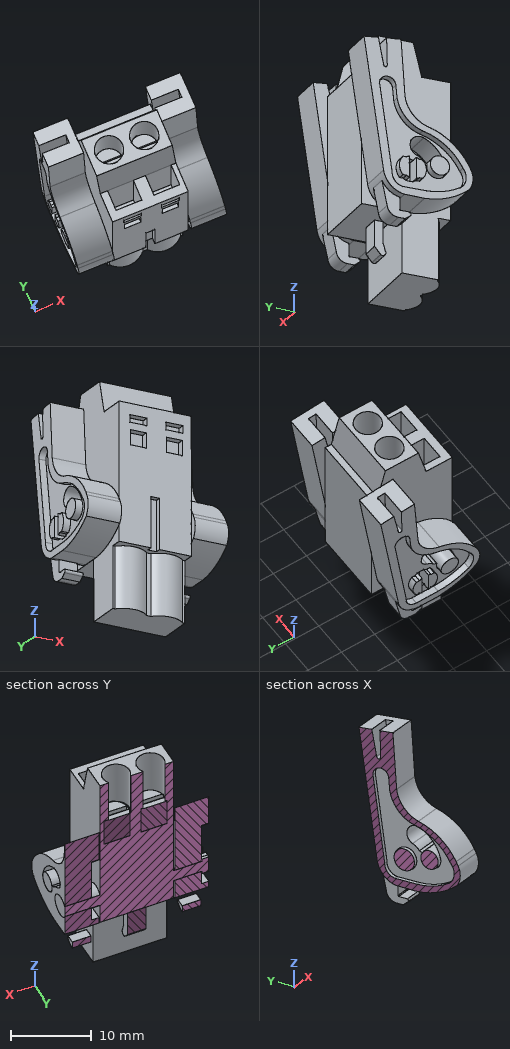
import cadquery as cq
import math


HEIGHT = 31.8
WIDTH = 10.18
BACK_Y = 4.77
FRONT_Y = -7.4
PLUG_TOP_Z = 8.43
SHOULDER_Z = 27.3
CROWN_BACK_Y = 2.67
CROWN_FRONT_Y = -2.3
CROWN_TAPER = 1.18
CROWN_FOOT_FRONT_Y = CROWN_FRONT_Y - CROWN_TAPER
CROWN_FOOT_BACK_Y = CROWN_BACK_Y + CROWN_TAPER

POLE_PITCH = 5.1
PLUG_BACK_Y = -0.73
PLUG_FRONT_Y = -5.72
BULGE_DEPTH = 1.0
BULGE_WIDTH = 4.48

KEY_SLOT_WIDTH = 1.2
KEY_SLOT_DEPTH = 0.75
KEY_SLOT_TOP_Z = 15.33

FIRST_POLE_X = -2.37
POLE_XS = [FIRST_POLE_X, FIRST_POLE_X + POLE_PITCH]
WIRE_ENTRY_WIDTH = 3.47
WIRE_ENTRY_FRONT_WALL = 1.2
WIRE_ENTRY_DEPTH = 9.55

WINDOW_DEPTH = 1.0
TEST_WINDOW = (2.4, 24.75, 25.75)
RELEASE_WINDOW = (2.2, 21.72, 23.75)

SCREW_Y = 0.22
SCREW_RADIUS = 2.0
SCREW_LENGTH = 3.82
SCREW_TOP_Z = 25.45
SCREW_SLOT_WIDTH = 0.67
SCREW_SLOT_DEPTH = 0.65
ACCESS_HOLE_RADIUS = 1.8
ACCESS_HOLE_X = 2.37

OVERALL_WIDTH = 19.88
LEVER_THICKNESS = 4.75
LEFT_LEVER_X = -OVERALL_WIDTH / 2
RIGHT_LEVER_X = OVERALL_WIDTH / 2 - LEVER_THICKNESS
RECESS_DEPTH = 1.0
GRIP_SLOT_LENGTH = 3.63
HOOK_WIDTH = 2.58

PIVOT_Z = 12.27
PIVOT_RADIUS = 1.53
PIVOT_SPLIT_WIDTH = 0.95
PIVOT_SPLIT_DEPTH = 1.9
SNAP_LIP_RADIUS = 1.85
SNAP_LIP_HEIGHT = 2.5

GUIDE_ORBIT = 3.82
GUIDE_PIN_RADIUS = 1.3
GUIDE_SLOT_RADIUS = 1.35
GUIDE_ANGLE = 14.4
GUIDE_END_ANGLE = 68.0
DETENT_ANGLE = 39.0
DETENT_TIP_ORBIT = 2.7
DETENT_TIP_ANGLE = 31.0

LATCH_WIDTH = HOOK_WIDTH
LATCH_BACK_Y = 1.27
LATCH_FRONT_Y = 0.1


def block(x, y, z):
    """Box from (min, max) pairs along each axis."""
    return cq.Workplane("XY").box(
        x[1] - x[0], y[1] - y[0], z[1] - z[0], centered=False
    ).translate((x[0], y[0], z[0]))


def side_profile(x):
    """Workplane at the given x whose local axes are Y and Z."""
    return cq.Workplane("YZ", origin=(x, 0, 0))


def orbit_point(radius, angle):
    """Point (y, z) at a radius from the pivot axis, angle in degrees up from -Y."""
    a = math.radians(angle)
    return (-radius * math.cos(a), PIVOT_Z + radius * math.sin(a))


GUIDE_PIN = orbit_point(GUIDE_ORBIT, GUIDE_ANGLE)
GUIDE_END = orbit_point(GUIDE_ORBIT, GUIDE_END_ANGLE)


def housing_shell():
    upper = (
        side_profile(-WIDTH / 2)
        .polyline([
            (BACK_Y, PLUG_TOP_Z),
            (BACK_Y, SHOULDER_Z),
            (CROWN_FOOT_BACK_Y, SHOULDER_Z),
            (CROWN_BACK_Y, HEIGHT),
            (CROWN_FRONT_Y, HEIGHT),
            (CROWN_FOOT_FRONT_Y, SHOULDER_Z),
            (FRONT_Y, SHOULDER_Z),
            (FRONT_Y, PLUG_TOP_Z),
        ])
        .close()
        .extrude(WIDTH)
    )
    return upper.union(plug())


def plug():
    """Lower plug-in block with one rounded bulge per pole along its front."""
    outline = cq.Workplane("XY").moveTo(-WIDTH / 2, PLUG_BACK_Y).lineTo(-WIDTH / 2, PLUG_FRONT_Y)
    for centre in (-POLE_PITCH / 2, POLE_PITCH / 2):
        outline = outline.lineTo(centre - BULGE_WIDTH / 2, PLUG_FRONT_Y).threePointArc(
            (centre, PLUG_FRONT_Y - BULGE_DEPTH), (centre + BULGE_WIDTH / 2, PLUG_FRONT_Y)
        )
    return (
        outline.lineTo(WIDTH / 2, PLUG_FRONT_Y)
        .lineTo(WIDTH / 2, PLUG_BACK_Y)
        .close()
        .extrude(PLUG_TOP_Z)
    )


def cut_key_slot(body):
    half = KEY_SLOT_WIDTH / 2
    return body.cut(block(
        (-half, half), (FRONT_Y, FRONT_Y + KEY_SLOT_DEPTH), (PLUG_TOP_Z, KEY_SLOT_TOP_Z)
    ))


def cut_wire_entries(body):
    """Square wire funnels between the front wall and the foot of the crown."""
    half = WIRE_ENTRY_WIDTH / 2
    for x in POLE_XS:
        body = body.cut(block(
            (x - half, x + half),
            (FRONT_Y + WIRE_ENTRY_FRONT_WALL, CROWN_FOOT_FRONT_Y),
            (SHOULDER_Z - WIRE_ENTRY_DEPTH, SHOULDER_Z),
        ))
    return body


def cut_windows(body):
    for x in POLE_XS:
        for width, bottom, top in (TEST_WINDOW, RELEASE_WINDOW):
            body = body.cut(block(
                (x - width / 2, x + width / 2), (FRONT_Y, FRONT_Y + WINDOW_DEPTH), (bottom, top)
            ))
    return body


def cut_screw_bores(body):
    """Access holes from the crown down to wider chambers that hold the screws."""
    access = (
        cq.Workplane("XY", origin=(0, SCREW_Y, SCREW_TOP_Z))
        .pushPoints([(-ACCESS_HOLE_X, 0), (ACCESS_HOLE_X, 0)])
        .circle(ACCESS_HOLE_RADIUS)
        .extrude(HEIGHT - SCREW_TOP_Z)
    )
    chambers = (
        cq.Workplane("XY", origin=(0, SCREW_Y, SCREW_TOP_Z))
        .pushPoints([(x, 0) for x in POLE_XS])
        .circle(SCREW_RADIUS)
        .extrude(-SCREW_LENGTH)
    )
    return body.cut(access).cut(chambers)


def cylinder_along_x(centre, radius, start, end):
    return side_profile(start).center(*centre).circle(radius).extrude(end - start)


def snap_lip():
    """Disc with flats above and below that holds the left lever on its pivot."""
    start = LEFT_LEVER_X
    end = start + RECESS_DEPTH
    band = block(
        (start, end), (-SNAP_LIP_RADIUS, SNAP_LIP_RADIUS),
        (PIVOT_Z - SNAP_LIP_HEIGHT / 2, PIVOT_Z + SNAP_LIP_HEIGHT / 2),
    )
    return cylinder_along_x((0, PIVOT_Z), SNAP_LIP_RADIUS, start, end).intersect(band)


def add_lever_pins(body):
    """Pivot and guide pins on both sides, and the split snap lip on the left pivot."""
    for start, end in ((LEFT_LEVER_X, -WIDTH / 2), (WIDTH / 2, OVERALL_WIDTH / 2)):
        body = body.union(cylinder_along_x((0, PIVOT_Z), PIVOT_RADIUS, start, end))
        body = body.union(cylinder_along_x(GUIDE_PIN, GUIDE_PIN_RADIUS, start, end))
    body = body.union(snap_lip())
    split = block(
        (LEFT_LEVER_X, LEFT_LEVER_X + PIVOT_SPLIT_DEPTH),
        (-PIVOT_SPLIT_WIDTH / 2, PIVOT_SPLIT_WIDTH / 2),
        (PIVOT_Z - PIVOT_RADIUS, PIVOT_Z + PIVOT_RADIUS),
    )
    return body.cut(split)


def make_housing():
    body = housing_shell()
    body = cut_key_slot(body)
    body = cut_wire_entries(body)
    body = cut_windows(body)
    body = cut_screw_bores(body)
    return add_lever_pins(body)


def make_screw(x):
    screw = (
        cq.Workplane("XY", origin=(x, SCREW_Y, SCREW_TOP_Z))
        .circle(SCREW_RADIUS)
        .extrude(-SCREW_LENGTH)
    )
    slot = block(
        (x - SCREW_RADIUS, x + SCREW_RADIUS),
        (SCREW_Y - SCREW_SLOT_WIDTH / 2, SCREW_Y + SCREW_SLOT_WIDTH / 2),
        (SCREW_TOP_Z - SCREW_SLOT_DEPTH, SCREW_TOP_Z),
    )
    return screw.cut(slot)


def lever_plate(x):
    """Long grip arm that widens into a rounded cam around the pivot."""
    return (
        side_profile(x)
        .moveTo(6.68, 28.95)
        .lineTo(1.62, 29.48)
        .lineTo(1.08, 21.78)
        .threePointArc((0.0, 19.45), (-2.1, 18.2))
        .threePointArc((-5.0, 16.9), (-7.63, 14.05))
        .lineTo(-7.92, 13.5)
        .threePointArc((-8.25, 12.4), (-7.75, 10.72))
        .threePointArc((-4.93, 9.03), (-1.6, 8.33))
        .lineTo(1.15, 8.35)
        .threePointArc((2.95, 9.2), (4.0, 11.13))
        .close()
        .extrude(LEVER_THICKNESS)
    )


def lever_recess(x):
    return (
        side_profile(x)
        .moveTo(4.55, 22.9)
        .threePointArc((3.5, 24.05), (2.32, 23.02))
        .lineTo(2.15, 21.3)
        .threePointArc((1.02, 18.95), (-1.35, 17.5))
        .threePointArc((-4.15, 16.3), (-6.85, 13.45))
        .threePointArc((-7.28, 12.2), (-6.55, 10.78))
        .threePointArc((-4.42, 9.83), (-1.95, 9.4))
        .lineTo(1.35, 9.38)
        .threePointArc((2.35, 9.85), (2.83, 11.07))
        .close()
        .extrude(RECESS_DEPTH)
    )


def grip_slot(x):
    """Narrow wedge open to the top and to the -X face of the grip."""
    return (
        side_profile(x)
        .moveTo(4.77, 29.4)
        .lineTo(4.0, 25.57)
        .threePointArc((3.75, 25.3), (3.5, 25.57))
        .lineTo(3.6, 29.4)
        .close()
        .extrude(GRIP_SLOT_LENGTH)
    )


def guide_slot(x):
    """Curved slot around the pivot, with a detent that keeps the guide pin in its seat."""
    outer_middle = (GUIDE_ANGLE + GUIDE_END_ANGLE) / 2
    inner_middle = (DETENT_ANGLE + GUIDE_END_ANGLE) / 2
    outer = GUIDE_ORBIT + GUIDE_SLOT_RADIUS
    inner = GUIDE_ORBIT - GUIDE_SLOT_RADIUS
    track = (
        side_profile(x)
        .moveTo(*orbit_point(DETENT_TIP_ORBIT, DETENT_TIP_ANGLE))
        .lineTo(*GUIDE_PIN)
        .lineTo(*orbit_point(outer, GUIDE_ANGLE))
        .threePointArc(orbit_point(outer, outer_middle), orbit_point(outer, GUIDE_END_ANGLE))
        .lineTo(*orbit_point(inner, GUIDE_END_ANGLE))
        .threePointArc(orbit_point(inner, inner_middle), orbit_point(inner, DETENT_ANGLE))
        .close()
        .extrude(LEVER_THICKNESS)
    )
    for centre in (GUIDE_PIN, GUIDE_END):
        track = track.union(cylinder_along_x(centre, GUIDE_SLOT_RADIUS, x, x + LEVER_THICKNESS))
    return track


def lever_hook(x):
    """J-shaped ejector hook below the cam, centred in the lever's thickness."""
    return (
        side_profile(x + (LEVER_THICKNESS - HOOK_WIDTH) / 2)
        .moveTo(3.75, 10.35)
        .lineTo(3.02, 6.93)
        .threePointArc((2.48, 5.95), (1.5, 5.6))
        .lineTo(0.55, 5.6)
        .lineTo(-0.13, 6.1)
        .threePointArc((-0.25, 6.4), (-0.1, 6.6))
        .lineTo(1.18, 6.6)
        .lineTo(1.27, 6.75)
        .lineTo(1.27, 8.75)
        .lineTo(2.23, 10.35)
        .close()
        .extrude(HOOK_WIDTH)
    )


def make_lever(x):
    """Lever with its -X face at the given x."""
    lever = lever_plate(x).union(lever_hook(x)).cut(lever_recess(x))
    lever = lever.cut(grip_slot(x)).cut(guide_slot(x))
    return lever.cut(cylinder_along_x((0, PIVOT_Z), PIVOT_RADIUS, x, x + LEVER_THICKNESS))


def make_latch():
    """Hooked strip that hangs from the housing behind the plug."""
    return (
        side_profile(-LATCH_WIDTH / 2)
        .moveTo(LATCH_BACK_Y, PLUG_TOP_Z)
        .lineTo(LATCH_BACK_Y, 4.83)
        .lineTo(0.45, 3.88)
        .threePointArc((0.03, 3.82), (-0.22, 4.45))
        .lineTo(LATCH_FRONT_Y, 5.47)
        .lineTo(LATCH_FRONT_Y, PLUG_TOP_Z)
        .close()
        .extrude(LATCH_WIDTH)
    )


housing = make_housing()
screws = [make_screw(x) for x in POLE_XS]
levers = [make_lever(x) for x in (LEFT_LEVER_X, RIGHT_LEVER_X)]
latch = make_latch()

bodies = [housing, *screws, *levers, latch]
result = cq.Compound.makeCompound([body.solids().val() for body in bodies])